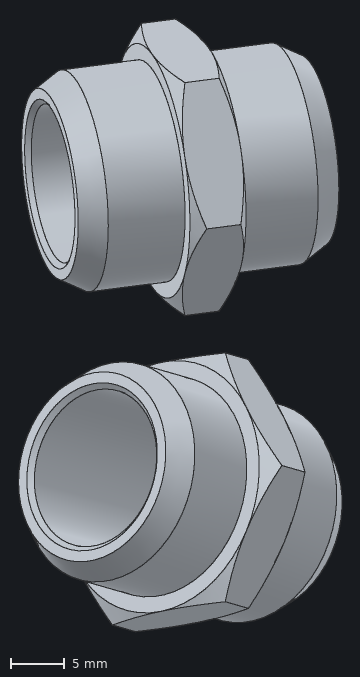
import cadquery as cq
import math

across_corners = 27.7
across_flats = across_corners * math.cos(math.radians(30))
total_length = 25.5
hex_thickness = 5.5
body_diameter = 20.95
end_chamfer_length = 2.5
end_chamfer_angle = 30.0
hex_chamfer_angle = 30.0
bore_diameter = 15.0
bore_chamfer = 0.5

half_length = total_length / 2
half_hex = hex_thickness / 2
body_radius = body_diameter / 2
bore_radius = bore_diameter / 2
corner_radius = across_corners / 2
flat_radius = across_flats / 2


def revolve_profile(points):
    """Revolve a closed (radius, axial position) outline about the Y axis."""
    return cq.Workplane("XY").polyline(points).close().revolve(360, (0, 0, 0), (0, 1, 0))


def make_body():
    """Round body, tapered at both ends."""
    end_radius = body_radius - end_chamfer_length * math.tan(math.radians(end_chamfer_angle))
    shoulder = half_length - end_chamfer_length
    return revolve_profile([
        (0, -half_length),
        (end_radius, -half_length),
        (body_radius, -shoulder),
        (body_radius, shoulder),
        (end_radius, half_length),
        (0, half_length),
    ])


def make_hexagon():
    """Hexagon with corners on the X axis, its corners trimmed by two cones."""
    prism = cq.Workplane("XZ").polygon(6, across_corners).extrude(half_hex, both=True)
    drop = (corner_radius - flat_radius) * math.tan(math.radians(hex_chamfer_angle))
    trimming_cones = revolve_profile([
        (0, -half_hex),
        (flat_radius, -half_hex),
        (corner_radius, drop - half_hex),
        (corner_radius, half_hex - drop),
        (flat_radius, half_hex),
        (0, half_hex),
    ])
    return prism.intersect(trimming_cones)


def make_bore():
    """Through bore, chamfered at both mouths."""
    mouth_radius = bore_radius + bore_chamfer
    chamfer_start = half_length - bore_chamfer
    return revolve_profile([
        (0, -half_length),
        (mouth_radius, -half_length),
        (bore_radius, -chamfer_start),
        (bore_radius, chamfer_start),
        (mouth_radius, half_length),
        (0, half_length),
    ])


result = make_body().union(make_hexagon()).cut(make_bore())